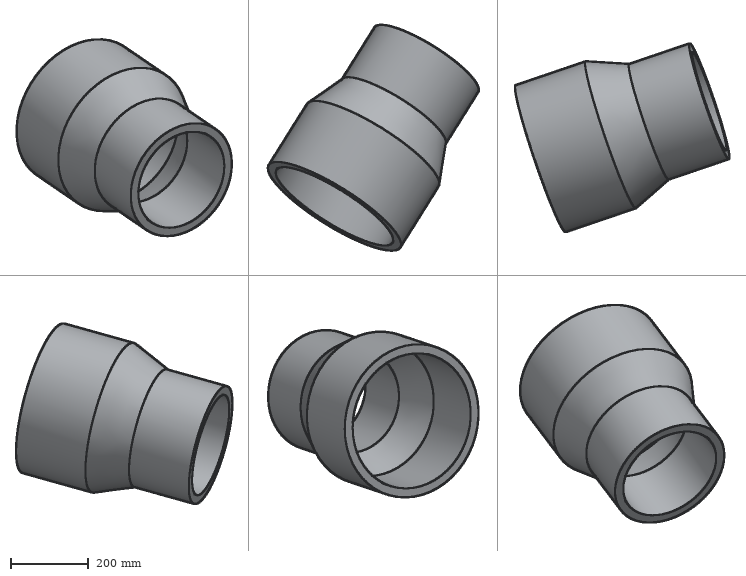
import math

import cadquery as cq

total_length = 460.0
wide_length = 191.5
taper_length = 104.0

wide_outer_diameter = 400.0
wide_inner_diameter = 353.0
narrow_outer_diameter = 315.0
wall = (wide_outer_diameter - wide_inner_diameter) / 2
narrow_inner_diameter = narrow_outer_diameter - 2 * wall

taper_angle = math.atan2((wide_outer_diameter - narrow_outer_diameter) / 2, taper_length)
bore_taper_shift = wall * math.tan(taper_angle / 2)


def reducer_body(wide_diameter, narrow_diameter, taper_start):
    """Solid of revolution: wide cylinder, cone, narrow cylinder."""
    wide_radius = wide_diameter / 2
    narrow_radius = narrow_diameter / 2
    return (
        cq.Workplane("XY")
        .moveTo(0, 0)
        .lineTo(0, wide_radius)
        .lineTo(taper_start, wide_radius)
        .lineTo(taper_start + taper_length, narrow_radius)
        .lineTo(total_length, narrow_radius)
        .lineTo(total_length, 0)
        .close()
        .revolve(360, (0, 0, 0), (1, 0, 0))
    )


outside = reducer_body(wide_outer_diameter, narrow_outer_diameter, wide_length)
bore = reducer_body(wide_inner_diameter, narrow_inner_diameter, wide_length - bore_taper_shift)
result = outside.cut(bore)